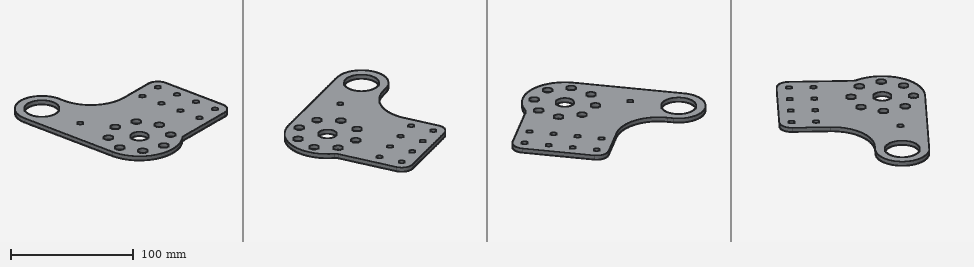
import cadquery as cq
import math

length = 149.0
width = 120.4
thickness = 4.0

hub_radius = 35.0
hub_x = length - hub_radius
hub_y = hub_radius
hub_bore = 15.0
bolt_count = 8
bolt_circle_radius = 25.5
bolt_hole = 8.0

ring_radius = 22.0
ring_bore = 28.6
ring_top = 2 * ring_radius
pin_hole = 5.0
pin_distance = 40.2

grid_columns = 4
grid_rows = 2
grid_pitch = 20.0
grid_hole = 5.0
arm_margin = 10.0
arm_left = 62.0
arm_right = arm_left + (grid_columns - 1) * grid_pitch + 2 * arm_margin
grid_center_x = (arm_left + arm_right) / 2
grid_center_y = width - arm_margin - (grid_rows - 1) * grid_pitch / 2

inner_radius = 35.0
neck_radius = 5.0


def point_on_circle(center_x, center_y, radius, degrees):
    """Point on a circle at the given angle."""
    angle = math.radians(degrees)
    return center_x + radius * math.cos(angle), center_y + radius * math.sin(angle)


def make_plate():
    neck_x = arm_right + neck_radius
    center_distance = hub_radius + neck_radius
    neck_y = hub_y + math.sqrt(center_distance**2 - (neck_x - hub_x) ** 2)
    neck_angle = math.degrees(math.atan2(neck_y - hub_y, neck_x - hub_x))
    neck_end = point_on_circle(hub_x, hub_y, hub_radius, neck_angle)
    neck_middle = point_on_circle(neck_x, neck_y, neck_radius, 180 + neck_angle / 2)

    inner_x = arm_left - inner_radius
    inner_y = ring_top + inner_radius
    corner_y = width - arm_margin

    return (
        cq.Workplane("XY")
        .moveTo(ring_radius, 0)
        .lineTo(hub_x, 0)
        .threePointArc((length, hub_y), neck_end)
        .threePointArc(neck_middle, (arm_right, neck_y))
        .lineTo(arm_right, corner_y)
        .threePointArc(
            point_on_circle(arm_right - arm_margin, corner_y, arm_margin, 45),
            (arm_right - arm_margin, width),
        )
        .lineTo(arm_left + arm_margin, width)
        .threePointArc(
            point_on_circle(arm_left + arm_margin, corner_y, arm_margin, 135),
            (arm_left, corner_y),
        )
        .lineTo(arm_left, inner_y)
        .threePointArc(
            point_on_circle(inner_x, inner_y, inner_radius, -45),
            (inner_x, ring_top),
        )
        .lineTo(ring_radius, ring_top)
        .threePointArc((0, ring_radius), (ring_radius, 0))
        .close()
        .extrude(thickness)
    )


def hole_cutter(x, y, diameter):
    """Cylinder through the full thickness."""
    return cq.Workplane("XY").center(x, y).circle(diameter / 2).extrude(thickness)


def grid_cutter():
    return (
        cq.Workplane("XY")
        .center(grid_center_x, grid_center_y)
        .rarray(grid_pitch, grid_pitch, grid_columns, grid_rows)
        .circle(grid_hole / 2)
        .extrude(thickness)
    )


def bolt_circle_cutter():
    return (
        cq.Workplane("XY")
        .center(hub_x, hub_y)
        .polarArray(bolt_circle_radius, 0, 360, bolt_count)
        .circle(bolt_hole / 2)
        .extrude(thickness)
    )


result = (
    make_plate()
    .cut(hole_cutter(ring_radius, ring_radius, ring_bore))
    .cut(hole_cutter(ring_radius + pin_distance, ring_radius, pin_hole))
    .cut(hole_cutter(hub_x, hub_y, hub_bore))
    .cut(bolt_circle_cutter())
    .cut(grid_cutter())
)